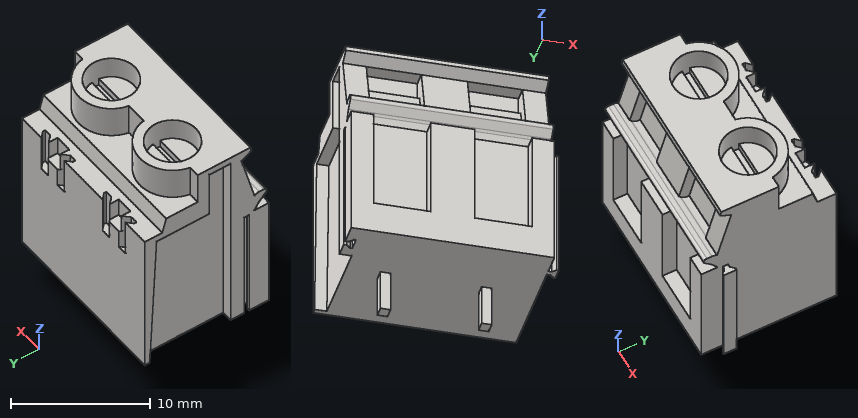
import cadquery as cq
import math


overall_height = 20.2
overall_length = 15.75
housing_depth = 11.0
housing_height = 17.0
pole_pitch = 7.5
end_margin = 3.78
housing_length = pole_pitch + 2 * end_margin
end_face_x = housing_length / 2
pole_positions = [-pole_pitch / 2, pole_pitch / 2]

back_ledge_z = 12.93
step_foot_y = 9.45
step_top_y = 9.11
step_top_z = 14.2
tower_back_y = 6.32

front_wall_z = 10.2
lip_foot_y = 1.31
lip_bend_start = (0.8, 10.93)
lip_bend_mid = (0.89, 10.85)
lip_bend_end = (0.97, 10.75)
lip_top_z = 11.9
lip_tip_radius = 0.26
lip_tip_y = 0.46
lip_flat_end_y = 0.87
lip_back_radius = 0.65
slope_foot_y = 1.3
lip_back_end_y = 1.41
slope_top = (2.45, 16.05)
top_edge_low = (1.55, 16.58)
top_edge_y = 1.64

well_y = 5.82
well_diameter = 4.16
tower_diameter = 5.78

screw_diameter = 3.95
screw_height = 1.62
screw_top_z = 15.2
slot_width = 0.63
slot_depth = 0.63
well_floor_z = screw_top_z - screw_height

upper_window_width = 4.08
upper_window_inset = 0.97
upper_window_foot_z = 11.25
upper_window_ledge_z = 14.35
upper_window_ledge_depth = 0.65

lower_window_width = 4.25
lower_window_depth = 1.15
lower_window_z = 2.45

recess_depth = 0.9
recess_front_y = 3.41
recess_step_y = 5.3
recess_top_z = 16.4
recess_step_z = 12.32
recess_back_top_y = 9.95
recess_back_foot_y = 10.56

dovetail_y = 1.98
dovetail_height = 10.0
dovetail_neck_width = 0.42
dovetail_head_width = 1.05
dovetail_neck_length = 0.25
dovetail_flare_length = (dovetail_head_width - dovetail_neck_width) / 2
dovetail_length = overall_length - housing_length

marker_slot_width = 1.43
marker_slot_depth = 0.95
marker_slot_height = 1.62
hook_height = 3.23
hook_depth = 0.67
hook_corner_depth = 0.45
hook_outer_mouth = 1.4
hook_inner_mouth = 0.57

pin_thickness = 0.75
pin_width = 0.89
pin_y = 5.27
pin_length = overall_height - housing_height


def extrude_along_x(outline, start_x, length):
    """Extrude a closed (Y, Z) outline towards +X."""
    return outline.close().extrude(length).translate((start_x, 0, 0))


def lip_back_point(y):
    """(Y, Z) point on the rounded back of the lip, which falls away behind the lip's flat top."""
    drop = lip_back_radius - math.sqrt(lip_back_radius**2 - (y - lip_flat_end_y) ** 2)
    return (y, lip_top_z - drop)


def housing_block():
    """Body with the stepped back, the sloped front and the projecting lip."""
    tip_z = lip_top_z - lip_tip_radius
    tip_diagonal = lip_tip_radius * math.sqrt(0.5)
    slope_foot = lip_back_point(slope_foot_y)
    outline = (
        cq.Workplane("YZ")
        .moveTo(0, 0)
        .lineTo(housing_depth, 0)
        .lineTo(housing_depth, back_ledge_z)
        .lineTo(step_foot_y, back_ledge_z)
        .lineTo(step_top_y, step_top_z)
        .lineTo(tower_back_y, step_top_z)
        .lineTo(tower_back_y, housing_height)
        .lineTo(top_edge_y, housing_height)
        .lineTo(*top_edge_low)
        .lineTo(*slope_top)
        .lineTo(*slope_foot)
        .threePointArc(
            lip_back_point((slope_foot_y + lip_flat_end_y) / 2),
            (lip_flat_end_y, lip_top_z),
        )
        .lineTo(lip_tip_y, lip_top_z)
        .threePointArc(
            (lip_tip_y - lip_tip_radius, tip_z),
            (lip_tip_y - tip_diagonal, tip_z - tip_diagonal),
        )
        .lineTo(*lip_bend_start)
        .threePointArc(lip_bend_mid, lip_bend_end)
        .lineTo(lip_foot_y, front_wall_z)
        .lineTo(0, front_wall_z)
    )
    return extrude_along_x(outline, -end_face_x, housing_length)


def tower(pole_x):
    """Round wall behind the screw well."""
    return (
        cq.Workplane("XY", origin=(pole_x, well_y, step_top_z))
        .circle(tower_diameter / 2)
        .extrude(housing_height - step_top_z)
    )


def screw_well(pole_x):
    return (
        cq.Workplane("XY", origin=(pole_x, well_y, well_floor_z))
        .circle(well_diameter / 2)
        .extrude(housing_height - well_floor_z)
    )


def upper_window(pole_x):
    """Pocket behind the sloped face: a parallel floor, then a ledge and an upright wall.

    Its bottom follows the rounded back of the lip, then curves the other way, tangent to it,
    up to the foot of the floor.
    """
    slope_foot = lip_back_point(slope_foot_y)
    lip_back_end = lip_back_point(lip_back_end_y)
    run_per_rise = (slope_top[0] - slope_foot[0]) / (slope_top[1] - slope_foot[1])

    def floor_y(z):
        return slope_foot[0] + upper_window_inset + run_per_rise * (z - slope_foot[1])

    ledge_front_y = floor_y(upper_window_ledge_z)
    ledge_back_y = ledge_front_y + upper_window_ledge_depth
    outline = (
        cq.Workplane("YZ")
        .moveTo(*slope_foot)
        .threePointArc(lip_back_point((slope_foot_y + lip_back_end_y) / 2), lip_back_end)
        .tangentArcPoint((floor_y(upper_window_foot_z), upper_window_foot_z), relative=False)
        .lineTo(ledge_front_y, upper_window_ledge_z)
        .lineTo(ledge_back_y, upper_window_ledge_z)
        .lineTo(ledge_back_y, slope_top[1])
        .lineTo(*slope_top)
    )
    return extrude_along_x(outline, pole_x - upper_window_width / 2, upper_window_width)


def lower_window(pole_x):
    return cq.Workplane("XY").box(
        lower_window_width, lower_window_depth, front_wall_z - lower_window_z, centered=(True, False, False)
    ).translate((pole_x, 0, lower_window_z))


def end_recess():
    """Stepped recess in the left end face, open at the underside."""
    outline = cq.Workplane("YZ").polyline(
        [
            (recess_front_y, 0),
            (recess_front_y, recess_top_z),
            (recess_step_y, recess_top_z),
            (recess_step_y, recess_step_z),
            (recess_back_top_y, recess_step_z),
            (recess_back_foot_y, 0),
        ]
    )
    return extrude_along_x(outline, -end_face_x, recess_depth)


def dovetail(face_x):
    """Upright dovetail that starts on the plane X = face_x and widens towards +X."""
    neck = dovetail_neck_width / 2
    head = dovetail_head_width / 2
    flare_end = dovetail_neck_length + dovetail_flare_length
    return (
        cq.Workplane("XY", origin=(face_x, dovetail_y, 0))
        .polyline(
            [
                (0, -neck),
                (dovetail_neck_length, -neck),
                (flare_end, -head),
                (dovetail_length, -head),
                (dovetail_length, head),
                (flare_end, head),
                (dovetail_neck_length, neck),
                (0, neck),
            ]
        )
        .close()
        .extrude(dovetail_height)
    )


def marker_slot(pole_x):
    """Square slot in the back edge, flanked by two deeper hooked channels with 45 degree sides."""
    slot = cq.Workplane("XY").box(
        marker_slot_width, marker_slot_depth, marker_slot_height, centered=(True, False, False)
    ).translate((0, -marker_slot_depth, back_ledge_z - marker_slot_height))
    hook = (
        cq.Workplane("XY", origin=(0, 0, back_ledge_z - hook_height))
        .polyline(
            [
                (hook_inner_mouth, 0),
                (hook_outer_mouth, 0),
                (hook_outer_mouth + hook_corner_depth, -hook_corner_depth),
                (hook_outer_mouth + hook_corner_depth, -hook_depth),
                (hook_inner_mouth + hook_depth, -hook_depth),
            ]
        )
        .close()
        .extrude(hook_height)
    )
    return slot.union(hook).union(hook.mirror("YZ")).translate((pole_x, housing_depth, 0))


def make_housing():
    body = housing_block()
    for pole_x in pole_positions:
        body = body.union(tower(pole_x))
    for pole_x in pole_positions:
        body = body.cut(screw_well(pole_x))
        body = body.cut(upper_window(pole_x))
        body = body.cut(lower_window(pole_x))
        body = body.cut(marker_slot(pole_x))
    body = body.cut(end_recess())
    body = body.cut(dovetail(-end_face_x))
    return body.union(dovetail(end_face_x))


def make_screw(pole_x):
    """Slotted screw standing on the floor of its well."""
    head = (
        cq.Workplane("XY", origin=(pole_x, well_y, well_floor_z))
        .circle(screw_diameter / 2)
        .extrude(screw_height)
    )
    slot = cq.Workplane("XY").box(
        screw_diameter, slot_width, slot_depth, centered=(True, True, False)
    ).translate((pole_x, well_y, screw_top_z - slot_depth))
    return head.cut(slot)


def make_pin(pole_x):
    """Rectangular solder pin below the housing."""
    return cq.Workplane("XY").box(
        pin_thickness, pin_width, pin_length, centered=(True, True, False)
    ).translate((pole_x, pin_y, -pin_length))


housing = make_housing()
screws = [make_screw(pole_x) for pole_x in pole_positions]
pins = [make_pin(pole_x) for pole_x in pole_positions]

result = cq.Compound.makeCompound([body.val() for body in [housing, *screws, *pins]])